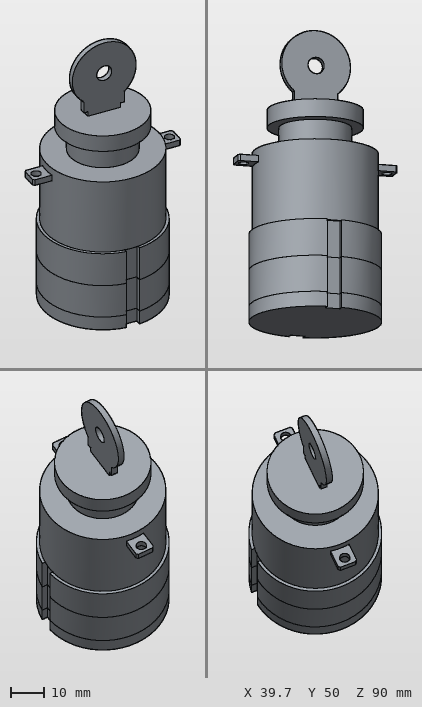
import cadquery as cq

ring_radius = 20.0
ring_levels = [0, 4.6, 15.8, 27.1]
slot_width = 4.5
slot_floor_x = 18.0

housing_radius = 19.0
housing_bottom = ring_levels[-1]
housing_top = 52.0
ear_width = 6.0
ear_thickness = 2.0
ear_top = 49.5
ear_span = 50.0
ear_root_overlap = 1.35
ear_chamfer = 0.5
ear_hole_diameter = 3.1
ear_hole_y = 22.5

stem_radius = 11.0
stem_top = 60.1
head_radius = 14.5
head_top = 65.55

key_top = 90.0
key_thickness = 2.0
bow_radius = 10.8
bow_center_z = key_top - bow_radius
bow_hole_radius = 2.5
shoulder_width = 13.7
shoulder_bottom = 67.1
neck_width = 11.1


def cylinder(radius, bottom, top):
    return cq.Workplane("XY").workplane(offset=bottom).circle(radius).extrude(top - bottom)


def make_ring(bottom, top):
    """Disc with a flat-floored vertical slot on its -X and +X sides."""
    height = top - bottom
    slot_depth = ring_radius - slot_floor_x
    slots = (
        cq.Workplane("XY")
        .workplane(offset=bottom)
        .pushPoints([(side * (slot_floor_x + slot_depth / 2), 0) for side in (-1, 1)])
        .rect(slot_depth, slot_width)
        .extrude(height)
    )
    return cylinder(ring_radius, bottom, top).cut(slots)


def make_ear(side):
    """Flat ear on the -Y or +Y side, with a vertical hole and chamfered outer corners."""
    inner_y = housing_radius - ear_root_overlap
    length = ear_span / 2 - inner_y
    outer_face = ">Y" if side > 0 else "<Y"
    ear = (
        cq.Workplane("XY")
        .workplane(offset=ear_top - ear_thickness)
        .center(0, side * (inner_y + length / 2))
        .rect(ear_width, length)
        .extrude(ear_thickness)
        .faces(outer_face)
        .edges("|Z")
        .chamfer(ear_chamfer)
    )
    hole = (
        cq.Workplane("XY")
        .workplane(offset=ear_top - ear_thickness)
        .center(0, side * ear_hole_y)
        .circle(ear_hole_diameter / 2)
        .extrude(ear_thickness)
    )
    return ear.cut(hole)


def make_housing():
    housing = cylinder(housing_radius, housing_bottom, housing_top)
    for side in (-1, 1):
        housing = housing.union(make_ear(side))
    return housing


def make_plunger():
    stem = cylinder(stem_radius, housing_top, stem_top)
    head = cylinder(head_radius, stem_top, head_top)
    return stem.union(head)


def key_plate(width, bottom, top):
    """Upright rectangular plate in the plane of the key."""
    return (
        cq.Workplane("XY")
        .workplane(offset=bottom)
        .rect(key_thickness, width)
        .extrude(top - bottom)
    )


def bow_disc(radius):
    """Upright disc centred on the round bow of the key."""
    return (
        cq.Workplane("YZ")
        .center(0, bow_center_z)
        .circle(radius)
        .extrude(key_thickness / 2, both=True)
    )


def make_key():
    shoulder = key_plate(shoulder_width, shoulder_bottom, bow_center_z)
    neck = key_plate(neck_width, head_top, shoulder_bottom)
    return bow_disc(bow_radius).union(shoulder).union(neck).cut(bow_disc(bow_hole_radius))


rings = [make_ring(bottom, top) for bottom, top in zip(ring_levels, ring_levels[1:])]
housing = make_housing()
plunger = make_plunger()
key = make_key()

result = cq.Compound.makeCompound(
    [*[ring.val() for ring in rings], housing.val(), plunger.val(), key.val()]
)